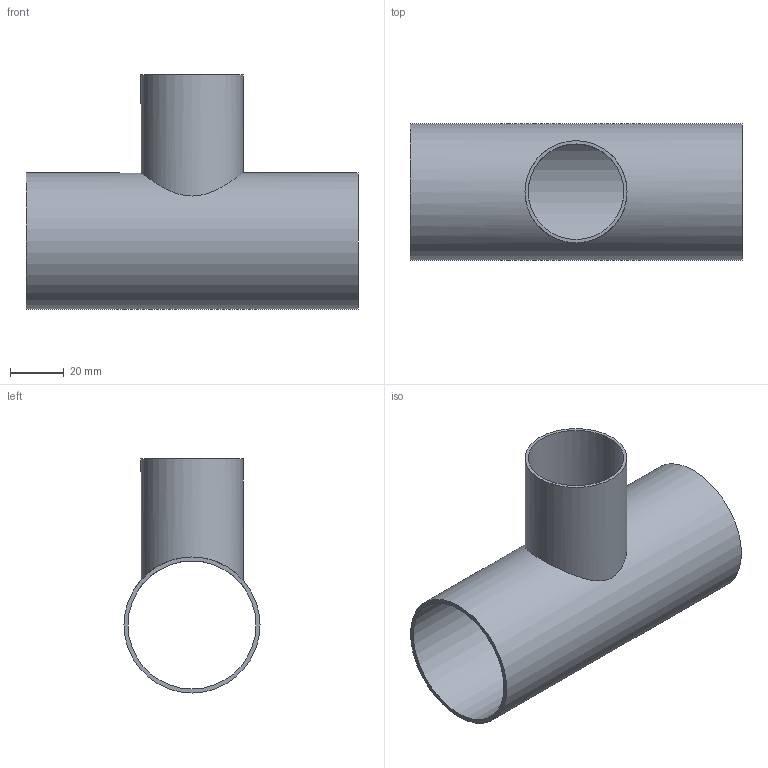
import cadquery as cq

run_length = 124.0
run_outer_diameter = 50.8
run_inner_diameter = 47.8
branch_outer_diameter = 38.1
branch_inner_diameter = 35.7
branch_height = run_length / 2


def run_cylinder(diameter):
    """Cylinder along X with the full run length, centred on the origin."""
    return cq.Workplane("YZ").circle(diameter / 2).extrude(run_length / 2, both=True)


def branch_cylinder(diameter):
    """Cylinder along Z from the run axis up to the branch end face."""
    return cq.Workplane("XY").circle(diameter / 2).extrude(branch_height)


outer_body = run_cylinder(run_outer_diameter).union(branch_cylinder(branch_outer_diameter))

result = outer_body.cut(run_cylinder(run_inner_diameter)).cut(branch_cylinder(branch_inner_diameter))